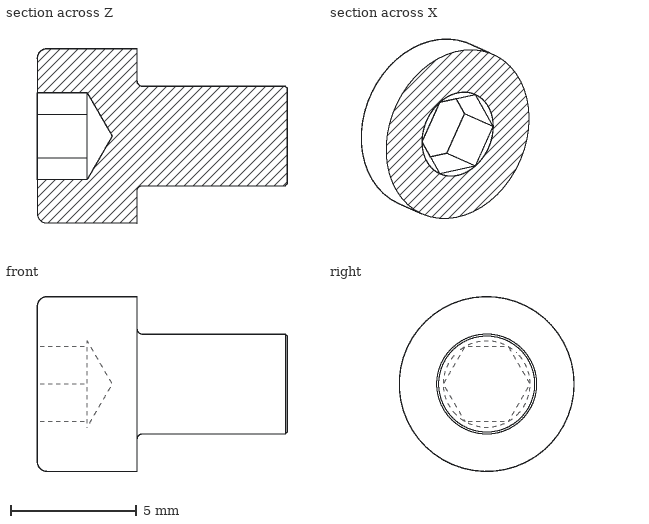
import math

import cadquery as cq

head_diameter = 7.0
head_height = 4.0
head_edge_radius = 0.4
shank_diameter = 4.0
shank_length = 6.0
tip_chamfer = 0.08
neck_fillet_radius = 0.2
socket_sides = 6
socket_across_flats = 3.0
socket_depth = 2.0
socket_cone_angle = 120.0

head_radius = head_diameter / 2
shank_radius = shank_diameter / 2
socket_across_corners = socket_across_flats / math.cos(math.pi / socket_sides)
socket_corner_radius = socket_across_corners / 2
cone_depth = socket_corner_radius / math.tan(math.radians(socket_cone_angle / 2))


def make_body():
    """Head, under-head fillet and shank, revolved about the X axis."""
    profile = (
        cq.Workplane("XY")
        .moveTo(-head_height, 0)
        .lineTo(-head_height, head_radius - head_edge_radius)
        .radiusArc((-head_height + head_edge_radius, head_radius), head_edge_radius)
        .lineTo(0, head_radius)
        .lineTo(0, shank_radius + neck_fillet_radius)
        .radiusArc((neck_fillet_radius, shank_radius), -neck_fillet_radius)
        .lineTo(shank_length - tip_chamfer, shank_radius)
        .lineTo(shank_length, shank_radius - tip_chamfer)
        .lineTo(shank_length, 0)
        .close()
    )
    return profile.revolve(360, (0, 0, 0), (1, 0, 0))


def make_socket():
    """Hexagonal recess, corners on the Y axis, ending in a cone as wide as the corners."""
    hexagon = (
        cq.Workplane("YZ", origin=(-head_height, 0, 0))
        .polygon(socket_sides, socket_across_corners)
        .extrude(socket_depth)
    )
    cone_base = -head_height + socket_depth
    cone = (
        cq.Workplane("XY")
        .moveTo(cone_base, 0)
        .lineTo(cone_base, socket_corner_radius)
        .lineTo(cone_base + cone_depth, 0)
        .close()
        .revolve(360, (0, 0, 0), (1, 0, 0))
    )
    return hexagon.union(cone)


result = make_body().cut(make_socket())